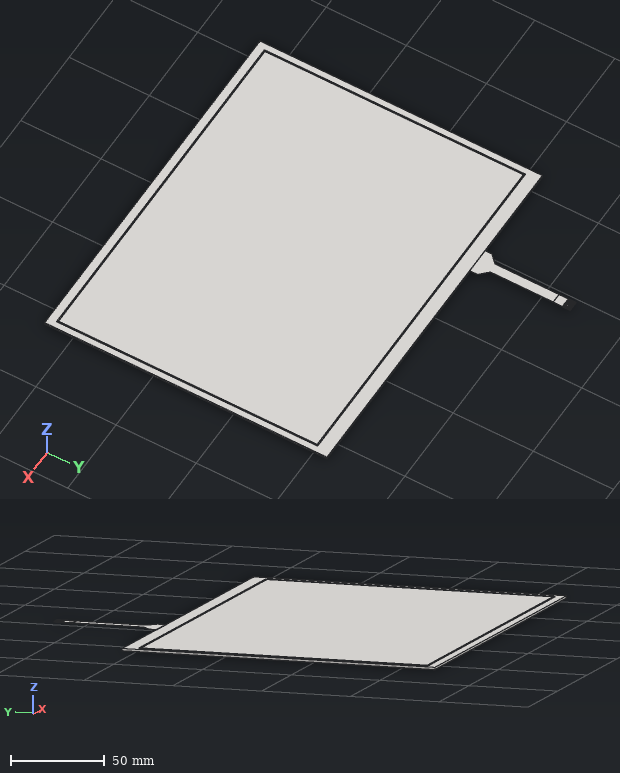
import cadquery as cq

panel_width = 222.9
total_length = 236.0
panel_length = 176.4
panel_thickness = 1.35

groove_side_inset = 4.0
groove_front_inset = 5.2
groove_back_inset = 8.3
groove_width = 0.7
groove_depth = 0.2

tail_center_x = 67.3
tail_width = 6.1
tail_thickness = 0.15
tail_top_drop = 0.15
tail_overlap = 2.4
pad_width = 16.0
pad_left_length = 4.2
pad_right_length = 5.0
pad_taper_length = 5.0

contact_count = 5
contact_width = 0.7
contact_length = 4.7
contact_height = 0.07
stiffener_length = 10.6
stiffener_thickness = 0.15

tail_top = panel_thickness - tail_top_drop
tail_bottom = tail_top - tail_thickness
tail_left = tail_center_x - tail_width / 2
tail_right = tail_center_x + tail_width / 2
pad_left = tail_center_x - pad_width / 2
pad_right = tail_center_x + pad_width / 2


def block(x, y, z, width, length, height):
    """Box placed by its lowest corner."""
    return cq.Workplane("XY").box(width, length, height, centered=False).translate((x, y, z))


def make_panel():
    """Flat plate with a rectangular groove in its top face."""
    groove_floor = panel_thickness - groove_depth
    outer_width = panel_width - 2 * groove_side_inset
    outer_length = panel_length - groove_front_inset - groove_back_inset
    outer = block(groove_side_inset, groove_front_inset, groove_floor,
                  outer_width, outer_length, groove_depth)
    inner = block(groove_side_inset + groove_width, groove_front_inset + groove_width, groove_floor,
                  outer_width - 2 * groove_width, outer_length - 2 * groove_width, groove_depth)
    plate = block(0, 0, 0, panel_width, panel_length, panel_thickness)
    return plate.cut(outer.cut(inner))


def make_tail():
    """Narrow strip that widens into a tapered pad, rooted inside the panel."""
    root = panel_length - tail_overlap
    left_shoulder = panel_length + pad_left_length
    right_shoulder = panel_length + pad_right_length
    outline = [
        (pad_left, root),
        (pad_right, root),
        (pad_right, right_shoulder),
        (tail_right, right_shoulder + pad_taper_length),
        (tail_right, total_length),
        (tail_left, total_length),
        (tail_left, left_shoulder + pad_taper_length),
        (pad_left, left_shoulder),
    ]
    return cq.Workplane("XY").workplane(offset=tail_bottom).polyline(outline).close().extrude(tail_thickness)


def make_stiffener():
    """Backing strip under the tail tip."""
    return block(tail_left, total_length - stiffener_length, tail_bottom - stiffener_thickness,
                 tail_width, stiffener_length, stiffener_thickness)


def add_contacts(body):
    """Evenly spaced raised contact strips on the tail tip."""
    pitch = tail_width / contact_count
    for index in range(contact_count):
        center_x = tail_left + (index + 0.5) * pitch
        body = body.union(block(center_x - contact_width / 2, total_length - contact_length, tail_top,
                                contact_width, contact_length, contact_height))
    return body


result = add_contacts(make_panel().union(make_tail()).union(make_stiffener()))